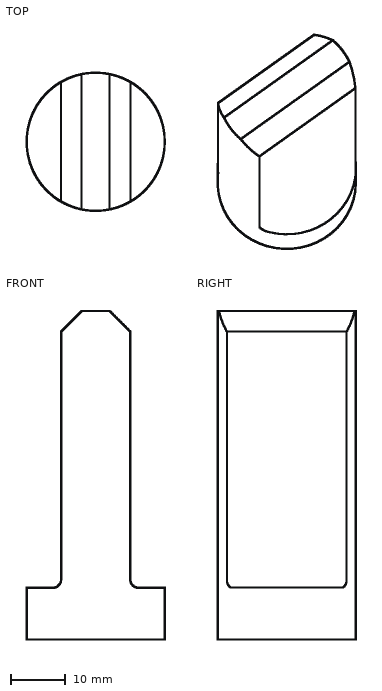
import cadquery as cq

diameter = 25.4
height = 60.3
base_height = 9.55
blade_thickness = 12.7
tip_chamfer = 3.8
root_radius = 1.5

radius = diameter / 2
half_blade = blade_thickness / 2
half_tip = half_blade - tip_chamfer
shoulder_z = height - tip_chamfer


def round_bar():
    """Full-height cylinder standing on the XY plane."""
    return cq.Workplane("XY").circle(radius).extrude(height)


def blade_profile():
    """Base, filleted blade and chamfered tip, extruded across the bar along Y."""
    half_root = half_blade + root_radius
    root_top = base_height + root_radius
    half_width = diameter
    right_half = (
        cq.Workplane("XZ")
        .lineTo(half_width, 0)
        .lineTo(half_width, base_height)
        .lineTo(half_root, base_height)
        .radiusArc((half_blade, root_top), root_radius)
        .lineTo(half_blade, shoulder_z)
        .lineTo(half_tip, height)
        .lineTo(0, height)
        .close()
        .extrude(diameter, both=True)
    )
    return right_half.union(right_half.mirror("YZ"))


result = round_bar().intersect(blade_profile()).clean()